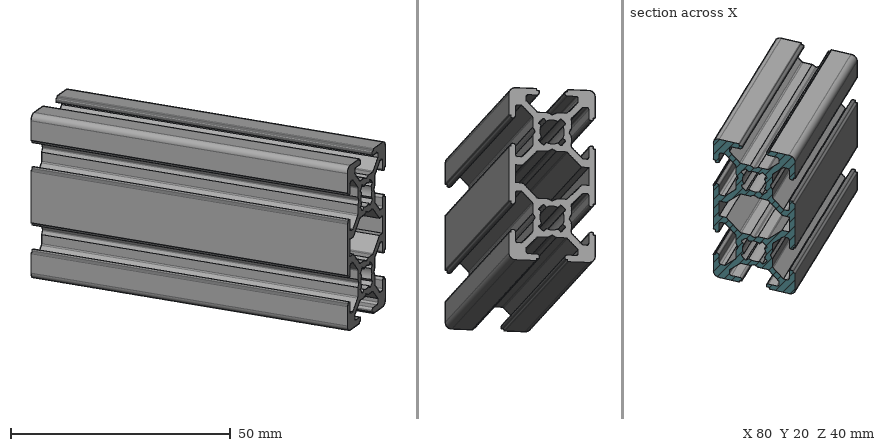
import cadquery as cq
import math

LENGTH = 80.0
BAY = 20.0
HALF_BAY = BAY / 2
WIDTH = BAY
HEIGHT = 2 * BAY
CORNER_RADIUS = 1.5
WEB_ANGLE = 45

LIP_THICKNESS = 1.5
LIP_INNER = HALF_BAY - LIP_THICKNESS
MOUTH_HALF = 3.0
TIP_INNER_RADIUS = 0.6
TIP_OUTER_RADIUS = 0.2
STEP_LEDGE = 0.2
STEP_DEPTH = 0.5
STEP_RADIUS = 0.2
CHAMBER_HALF = 6.0
CHAMBER_RADIUS = 0.5
CHAMBER_WALL_BASE = 7.1
FLOOR_HEIGHT = 4.5
FLOOR_HALF = CHAMBER_HALF - (CHAMBER_WALL_BASE - FLOOR_HEIGHT)
FLOOR_RADIUS = 0.5

GROOVE_HALF = 1.0
GROOVE_SHARP_DEPTH = 0.52
GROOVE_ROOT_RADIUS = 0.2

BORE_RADIUS = 2.8
RELIEF_RADIUS = 3.7
RELIEF_WIDTH = 1.6

CAVITY_HALF_WIDTH = LIP_INNER
CAVITY_WALL_HALF = 2.1
CAVITY_END = HALF_BAY - FLOOR_HEIGHT
CAVITY_SHELF_HALF = FLOOR_HALF + CAVITY_END - CAVITY_WALL_HALF

CUT_MARGIN = 0.8


def turned_about_x(body, angle):
    return body.rotate((0, 0, 0), (1, 0, 0), angle)


def floor_arc_reach():
    """Reach of a floor corner arc along the floor, and along Y or Z up the 45 degree wall."""
    tangent = FLOOR_RADIUS * math.tan(math.radians(WEB_ANGLE / 2))
    return tangent, tangent * math.cos(math.radians(WEB_ANGLE))


def groove_root():
    """Depth of the rounded groove root, then half-width and depth where it meets the flank."""
    flank = math.atan2(GROOVE_SHARP_DEPTH, GROOVE_HALF)
    root_depth = GROOVE_SHARP_DEPTH - GROOVE_ROOT_RADIUS * (1 / math.cos(flank) - 1)
    flank_half = GROOVE_ROOT_RADIUS * math.sin(flank)
    flank_depth = GROOVE_SHARP_DEPTH - flank_half * math.tan(flank)
    return root_depth, flank_half, flank_depth


def slot_cutter():
    """T-slot opening towards +Z, for a bay centred on the X axis."""
    tangent, run = floor_arc_reach()
    root_depth, flank_half, flank_depth = groove_root()
    ledge_start = MOUTH_HALF + TIP_OUTER_RADIUS
    ledge_end = ledge_start + STEP_LEDGE
    step_wall = ledge_end + STEP_RADIUS
    mouth_outer = step_wall + STEP_RADIUS
    step_height = HALF_BAY - STEP_DEPTH
    half = (
        cq.Workplane("YZ")
        .moveTo(0, FLOOR_HEIGHT - root_depth)
        .radiusArc((flank_half, FLOOR_HEIGHT - flank_depth), -GROOVE_ROOT_RADIUS)
        .lineTo(GROOVE_HALF, FLOOR_HEIGHT)
        .lineTo(FLOOR_HALF - tangent, FLOOR_HEIGHT)
        .radiusArc((FLOOR_HALF + run, FLOOR_HEIGHT + run), -FLOOR_RADIUS)
        .lineTo(CHAMBER_HALF, CHAMBER_WALL_BASE)
        .lineTo(CHAMBER_HALF, LIP_INNER - CHAMBER_RADIUS)
        .radiusArc((CHAMBER_HALF - CHAMBER_RADIUS, LIP_INNER), -CHAMBER_RADIUS)
        .lineTo(MOUTH_HALF + TIP_INNER_RADIUS, LIP_INNER)
        .radiusArc((MOUTH_HALF, LIP_INNER + TIP_INNER_RADIUS), TIP_INNER_RADIUS)
        .lineTo(MOUTH_HALF, step_height - TIP_OUTER_RADIUS)
        .radiusArc((ledge_start, step_height), TIP_OUTER_RADIUS)
        .lineTo(ledge_end, step_height)
        .radiusArc((step_wall, step_height + STEP_RADIUS), -STEP_RADIUS)
        .lineTo(step_wall, HALF_BAY - STEP_RADIUS)
        .radiusArc((mouth_outer, HALF_BAY), STEP_RADIUS)
        .lineTo(mouth_outer, HALF_BAY + CUT_MARGIN)
        .lineTo(0, HALF_BAY + CUT_MARGIN)
        .close()
        .extrude(LENGTH)
    )
    return half.union(half.mirror("XZ"))


def core_cutter():
    """Round bore joined to two crossing diagonal channels with rounded ends."""
    bore = cq.Workplane("YZ").circle(BORE_RADIUS).extrude(LENGTH)
    channel = cq.Workplane("YZ").rect(2 * BAY, RELIEF_WIDTH).extrude(LENGTH)
    channels = turned_about_x(channel, WEB_ANGLE).union(turned_about_x(channel, -WEB_ANGLE))
    reliefs = channels.intersect(cq.Workplane("YZ").circle(RELIEF_RADIUS).extrude(LENGTH))
    return bore.union(reliefs)


def cavity_cutter():
    """Cavity with straight side walls, shelves and sloping ends, grooved top and bottom."""
    tangent, run = floor_arc_reach()
    root_depth, flank_half, flank_depth = groove_root()
    quarter = (
        cq.Workplane("YZ")
        .lineTo(CAVITY_HALF_WIDTH, 0)
        .lineTo(CAVITY_HALF_WIDTH, CAVITY_WALL_HALF)
        .lineTo(CAVITY_SHELF_HALF, CAVITY_WALL_HALF)
        .lineTo(FLOOR_HALF + run, CAVITY_END - run)
        .radiusArc((FLOOR_HALF - tangent, CAVITY_END), -FLOOR_RADIUS)
        .lineTo(GROOVE_HALF, CAVITY_END)
        .lineTo(flank_half, CAVITY_END + flank_depth)
        .radiusArc((0, CAVITY_END + root_depth), -GROOVE_ROOT_RADIUS)
        .close()
        .extrude(LENGTH)
    )
    upper_half = quarter.union(quarter.mirror("XZ"))
    return upper_half.union(upper_half.mirror("XY"))


bar = (
    cq.Workplane("YZ")
    .rect(WIDTH, HEIGHT)
    .extrude(LENGTH)
    .edges("|X")
    .fillet(CORNER_RADIUS)
)

slot = slot_cutter()
core = core_cutter()

for bay_z, end_turn in ((HALF_BAY, 0), (-HALF_BAY, 180)):
    bay_center = (0, 0, bay_z)
    for turn in (-90, 90, end_turn):
        bar = bar.cut(turned_about_x(slot, turn).translate(bay_center))
    bar = bar.cut(core.translate(bay_center))

bar = bar.cut(cavity_cutter())

result = bar.translate((-LENGTH / 2, 0, 0))